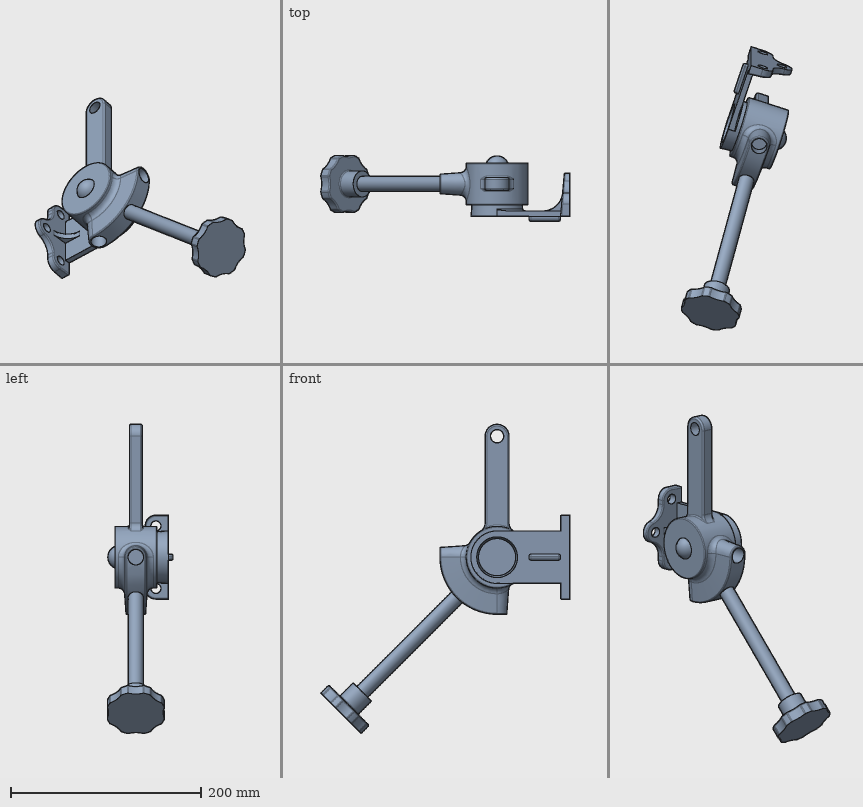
import cadquery as cq
import math


match_tolerance = 0.03

hub_radius = 32.5
hub_half_width = 22.0
hub_edge_round = 1.0
dome_radius = 11.5
dome_height = 7.5

lever_half_width = 12.7
lever_thickness = 13.5
lever_top = 139.7
lever_edge_round = 2.0
lever_hole_radius = 6.8
lever_hole_height = lever_top - lever_half_width
lever_flare_radius = 9.7
lever_root_round = 1.3

sector_radius = 60.0
sector_half_width_inner = 12.5
sector_half_width_outer = 10.5
sector_root_round = 6.5
sector_edge_round = 1.3
socket_depth = 19.5
socket_angles = (0, 45, 90)

rod_radius = 8.0
rod_angle = socket_angles[1]
knob_face_distance = 232.0
knob_radius = 31.2
knob_thickness = 12.0
knob_edge_round = 1.3
collar_radius = 13.5
collar_root_round = 1.0
collar_top = 32.0
scallop_count = 8
scallop_half_chord = 8.0
scallop_radius = 24.0
lobe_corner_round = 2.3

bracket_front = -34.0
bracket_radius = 27.5
bracket_boss_draft = 1.0
boss_root_round = 3.2
plate_thickness = 6.0
recess_radius_front = 21.5
recess_radius_back = 19.5
flange_back = 76.5
flange_thickness = 9.7
flange_tip_thickness = 6.0
flange_half_height = 44.2
ear_radius = 11.5
ear_hole_radius = 5.2
ear_y = -21.0
tongue_radius = 11.5
tongue_arc_end = 3.2
rib_length = 33.0
rib_width = 6.5
rib_height = 5.2
rib_edge_round = 2.3
gusset_radius = 20.8
flange_edge_round = 1.3

bracket_back = -hub_half_width
plate_back = bracket_front + plate_thickness
flange_front = flange_back - flange_thickness
ear_z = flange_half_height - ear_radius


def cylinder_y(radius, y_start, y_end, z=0.0):
    """Cylinder along Y between two Y positions."""
    return cq.Workplane(
        cq.Solid.makeCylinder(radius, y_end - y_start, cq.Vector(0, y_start, z), cq.Vector(0, 1, 0))
    )


def cone_y(radius_start, radius_end, y_start, y_end):
    """Truncated cone about the pivot axis."""
    return cq.Workplane(
        cq.Solid.makeCone(radius_start, radius_end, y_end - y_start,
                          cq.Vector(0, y_start, 0), cq.Vector(0, 1, 0))
    )


def radial_direction(angle):
    """Unit vector in the XZ plane, turned by angle degrees from -X towards -Z."""
    turn = math.radians(angle)
    return cq.Vector(-math.cos(turn), 0, -math.sin(turn))


def make_lever():
    """Flat arm with a round end; its narrow sides flare into the hub in concave arcs."""
    flare_centre_x = lever_half_width + lever_flare_radius
    flare_reach = hub_radius + lever_flare_radius
    flare_angle = math.acos(flare_centre_x / flare_reach)
    flare_top = flare_reach * math.sin(flare_angle)
    foot_x = hub_radius * math.cos(flare_angle)
    foot_z = hub_radius * math.sin(flare_angle)
    middle_x = flare_centre_x - lever_flare_radius * math.cos(flare_angle / 2)
    middle_z = flare_top - lever_flare_radius * math.sin(flare_angle / 2)
    lever = (
        cq.Workplane("XZ", origin=(0, lever_thickness / 2, 0))
        .moveTo(-foot_x, 0)
        .lineTo(-foot_x, foot_z)
        .threePointArc((-middle_x, middle_z), (-lever_half_width, flare_top))
        .lineTo(-lever_half_width, lever_hole_height)
        .threePointArc((0, lever_top), (lever_half_width, lever_hole_height))
        .lineTo(lever_half_width, flare_top)
        .threePointArc((middle_x, middle_z), (foot_x, foot_z))
        .lineTo(foot_x, 0)
        .close()
        .extrude(lever_thickness)
    )
    return lever.faces("<Y or >Y").edges("not <Z").fillet(lever_edge_round)


def make_sector():
    """Quarter ring tapering towards its rounded rim, closed by a half-cone socket boss at each end."""
    slope = (sector_half_width_inner - sector_half_width_outer) / (sector_radius - hub_radius)
    axis_half_width = sector_half_width_inner + slope * hub_radius
    profile = cq.Workplane("XY").polyline([
        (0, -axis_half_width),
        (-sector_radius, -sector_half_width_outer),
        (-sector_radius, sector_half_width_outer),
        (0, axis_half_width),
    ]).close()
    ring = profile.revolve(90, (0, 0, 0), (0, -1, 0))
    ring = ring.newObject(ring.edges().filter(lies_on_sector_rim).vals()).fillet(sector_edge_round)
    boss = (
        cq.Workplane("XY")
        .polyline([
            (0, 0),
            (0, axis_half_width),
            (-sector_radius, sector_half_width_outer),
            (-sector_radius, 0),
        ])
        .close()
        .revolve(180, (0, 0, 0), (1, 0, 0))
    )
    boss = boss.faces("<X").edges("%CIRCLE").fillet(sector_edge_round)
    return ring.union(boss).union(boss.mirror(cq.Vector(1, 0, -1)))


def socket_hole(angle):
    """Blind radial hole in the sector rim."""
    start = radial_direction(angle) * (sector_radius - socket_depth)
    return cq.Workplane(
        cq.Solid.makeCylinder(rod_radius, 2 * socket_depth, start, radial_direction(angle))
    )


def make_dome():
    """Spherical cap on the +Y face of the hub."""
    sphere_radius = (dome_radius ** 2 + dome_height ** 2) / (2 * dome_height)
    centre_y = hub_half_width + dome_height - sphere_radius
    sphere = cq.Workplane("XY", origin=(0, centre_y, 0)).sphere(sphere_radius)
    return sphere.intersect(cylinder_y(dome_radius, 0, hub_half_width + dome_height))


def lies_on_hub(edge):
    """True for an edge where something meets the round side of the hub."""
    ends = (edge.startPoint(), edge.endPoint())
    return all(
        math.isclose(math.hypot(end.x, end.z), hub_radius, abs_tol=match_tolerance)
        and abs(end.y) < lever_thickness
        for end in ends
    )


def lies_on_sector_rim(edge):
    """True for the two long arcs of the sector rim."""
    box = edge.BoundingBox()
    spans_quarter = all(
        math.isclose(length, sector_radius, abs_tol=match_tolerance) for length in (box.xlen, box.zlen)
    )
    return spans_quarter and box.ylen < match_tolerance


def lies_on_lever_joint(edge):
    """True for the arcs where the wide faces of the lever meet the hub."""
    return lies_on_hub(edge) and edge.geomType() == "CIRCLE" and edge.startPoint().z > hub_radius / 2


def make_housing():
    """Hub with the sector, lever and dome, drilled for the rod sockets and the lever eye."""
    hub = cylinder_y(hub_radius, -hub_half_width, hub_half_width).edges("%CIRCLE").fillet(hub_edge_round)
    housing = hub.union(make_sector())
    housing = housing.newObject(housing.edges().filter(lies_on_hub).vals()).fillet(sector_root_round)
    housing = housing.union(make_lever())
    lever_joint = housing.edges().filter(lies_on_lever_joint).vals()
    housing = housing.newObject(lever_joint).fillet(lever_root_round)
    housing = housing.union(make_dome())
    for angle in socket_angles:
        housing = housing.cut(socket_hole(angle))
    lever_hole = cylinder_y(lever_hole_radius, -lever_thickness, lever_thickness, z=lever_hole_height)
    return housing.cut(lever_hole)


def make_clamp_rod():
    """Rod, collar and scalloped knob, drawn upright from the outer knob face and then swung into place."""
    rod_length = knob_face_distance - (sector_radius - socket_depth)
    scallop_distance = (
        math.sqrt(knob_radius ** 2 - scallop_half_chord ** 2)
        + math.sqrt(scallop_radius ** 2 - scallop_half_chord ** 2)
    )
    scallops = (
        cq.Workplane("XY")
        .polarArray(scallop_distance, 0, 360, scallop_count)
        .circle(scallop_radius)
        .extrude(knob_thickness)
    )
    knob = cq.Workplane("XY").circle(knob_radius).extrude(knob_thickness).cut(scallops)
    knob = knob.edges("|Z").fillet(lobe_corner_round)
    knob = knob.faces(">Z").edges().fillet(knob_edge_round)
    collar = cq.Workplane("XY").circle(collar_radius).extrude(collar_top)
    rod = cq.Workplane("XY").circle(rod_radius).extrude(rod_length)
    knob = knob.union(collar)
    root_reach = collar_radius + collar_root_round
    collar_root = cq.selectors.BoxSelector(
        (-root_reach, -root_reach, knob_thickness - match_tolerance),
        (root_reach, root_reach, knob_thickness + match_tolerance),
        boundingbox=True,
    )
    knob = knob.edges(collar_root).fillet(collar_root_round)
    clamp_rod = knob.union(rod)
    return (
        clamp_rod
        .translate((0, 0, -knob_face_distance))
        .rotate((0, 0, 0), (0, 1, 0), 90 - rod_angle)
    )


def make_flange():
    """Plate across X, thinning towards +Y, with two eared corners and a middle tongue."""
    profile = (
        cq.Workplane("XY", origin=(0, 0, -flange_half_height))
        .moveTo(flange_back, bracket_front)
        .lineTo(flange_front, bracket_front)
        .lineTo(flange_back - flange_tip_thickness, tongue_radius)
        .lineTo(flange_back, tongue_radius)
        .close()
        .extrude(2 * flange_half_height)
    )
    ear_side = ear_y + ear_radius
    ear_diagonal = ear_radius * math.sqrt(0.5)
    tongue_diagonal = tongue_radius * math.sqrt(0.5)
    lean = tongue_arc_end / tongue_radius
    tongue_edge_z = tongue_radius * math.sqrt(1 - lean ** 2)
    joint_radius = (tongue_arc_end - ear_side) / (1 - lean)
    joint_y = ear_side + joint_radius
    joint_z = tongue_edge_z * (1 + joint_radius / tongue_radius)
    joint_middle = (math.pi + math.acos(lean)) / 2
    joint_middle_y = joint_y + joint_radius * math.cos(joint_middle)
    joint_middle_z = joint_z - joint_radius * math.sin(joint_middle)
    half_outline = (
        cq.Workplane("YZ", origin=(flange_front, 0, 0))
        .moveTo(bracket_front, 0)
        .lineTo(bracket_front, flange_half_height)
        .lineTo(ear_y, flange_half_height)
        .threePointArc((ear_y + ear_diagonal, ear_z + ear_diagonal), (ear_side, ear_z))
        .lineTo(ear_side, joint_z)
        .threePointArc((joint_middle_y, joint_middle_z), (tongue_arc_end, tongue_edge_z))
        .threePointArc((tongue_diagonal, tongue_diagonal), (tongue_radius, 0))
        .close()
        .extrude(flange_thickness)
    )
    flange = profile.intersect(half_outline.union(half_outline.mirror("XY")))
    flange = flange.faces("<X").edges("not <Y").fillet(flange_edge_round)
    for hole_y, hole_z in ((ear_y, ear_z), (ear_y, -ear_z), (0, 0)):
        hole = cq.Solid.makeCylinder(ear_hole_radius, flange_thickness,
                                     cq.Vector(flange_front, hole_y, hole_z), cq.Vector(1, 0, 0))
        flange = flange.cut(cq.Workplane(hole))
    return flange


def make_gusset():
    """Middle web with a concave quarter-round edge, in the corner between the plate and the flange."""
    top = plate_back + gusset_radius
    thinning = (flange_thickness - flange_tip_thickness) / (tongue_radius - bracket_front)
    foot_x = flange_front + thinning * (top - bracket_front)
    inset = gusset_radius * (1 - math.sqrt(0.5))
    return (
        cq.Workplane("XY", origin=(0, 0, -rib_width / 2))
        .moveTo(foot_x - gusset_radius, plate_back)
        .threePointArc((foot_x - inset, plate_back + inset), (foot_x, top))
        .lineTo(foot_x, plate_back)
        .close()
        .extrude(rib_width)
    )


def make_rib():
    """Rounded bar on the front of the plate, ending level with the flange."""
    rib = (
        cq.Workplane("XY", origin=(flange_front - rib_length / 2, bracket_front - rib_height / 2, 0))
        .box(rib_length, rib_height, rib_width)
    )
    return rib.edges("not >Y").fillet(rib_edge_round)


def make_boss_root():
    """Concave ring between the boss and the back of the plate, kept within the plate outline."""
    ring_radius = bracket_radius - bracket_boss_draft + boss_root_round
    ring_top = plate_back + boss_root_round
    inset = boss_root_round * (1 - math.sqrt(0.5))
    ring = (
        cq.Workplane("XY")
        .moveTo(recess_radius_front, plate_back)
        .lineTo(ring_radius, plate_back)
        .threePointArc(
            (ring_radius - boss_root_round + inset, plate_back + inset),
            (ring_radius - boss_root_round, ring_top),
        )
        .lineTo(recess_radius_front, ring_top)
        .close()
        .revolve(360, (0, 0, 0), (0, 1, 0))
    )
    plate_column = (
        cq.Workplane("XY", origin=(0, bracket_front, -bracket_radius))
        .box(flange_front, -bracket_front, 2 * bracket_radius, centered=False)
    )
    return ring.intersect(plate_column)


def make_bracket():
    """Plate with a hollow boss against the hub and a mounting flange at its far end."""
    plate = (
        cq.Workplane("XY", origin=(0, bracket_front, -bracket_radius))
        .box(flange_back - flange_tip_thickness, plate_thickness, 2 * bracket_radius, centered=False)
    )
    boss = cone_y(bracket_radius, bracket_radius - bracket_boss_draft, bracket_front, bracket_back)
    recess = cone_y(recess_radius_front, recess_radius_back, bracket_front, bracket_back)
    bracket = plate.union(boss).union(make_boss_root()).union(make_flange())
    bracket = bracket.union(make_gusset()).union(make_rib())
    return bracket.cut(recess)


housing = make_housing()
clamp_rod = make_clamp_rod()
bracket = make_bracket()

result = cq.Compound.makeCompound([housing.val(), clamp_rod.val(), bracket.val()])